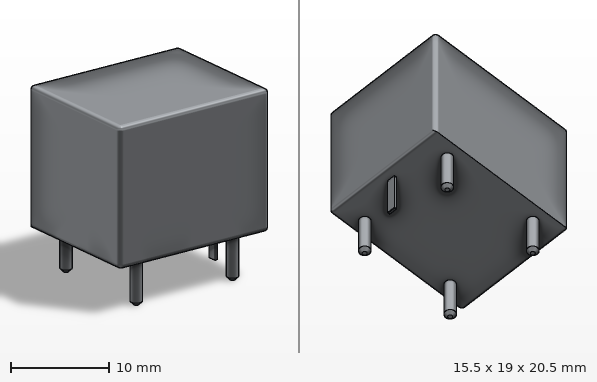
import cadquery as cq

housing_width = 15.5
housing_depth = 19.0
housing_height = 15.5
edge_radius = 0.5

total_height = 20.5
terminal_length = total_height - housing_height

pin_diameter = 1.3
pin_spacing_x = 12.0
pin_spacing_y = 12.2
pin_tip_chamfer = 0.39

blade_width = 1.0
blade_thickness = 0.3
blade_y = 8.1
blade_tip_chamfer = 0.06


def make_housing():
    """Block with every edge rounded except the lower edge on the -X side."""
    block = cq.Workplane("XY").box(
        housing_width, housing_depth, housing_height, centered=(True, True, False)
    )
    sharp_edge = cq.selectors.NearestToPointSelector((-housing_width / 2, 0, 0))
    return block.edges(cq.selectors.InverseSelector(sharp_edge)).fillet(edge_radius)


def make_pins():
    """Round pins with conical tips."""
    return (
        cq.Workplane("XY")
        .rarray(pin_spacing_x, pin_spacing_y, 2, 2)
        .circle(pin_diameter / 2)
        .extrude(-terminal_length)
        .faces("<Z")
        .chamfer(pin_tip_chamfer)
    )


def make_blade():
    """Flat blade with a bevel all round its tip."""
    return (
        cq.Workplane("XY")
        .center(0, blade_y)
        .rect(blade_width, blade_thickness)
        .extrude(-terminal_length)
        .faces("<Z")
        .chamfer(blade_tip_chamfer)
    )


result = make_housing().union(make_pins()).union(make_blade())